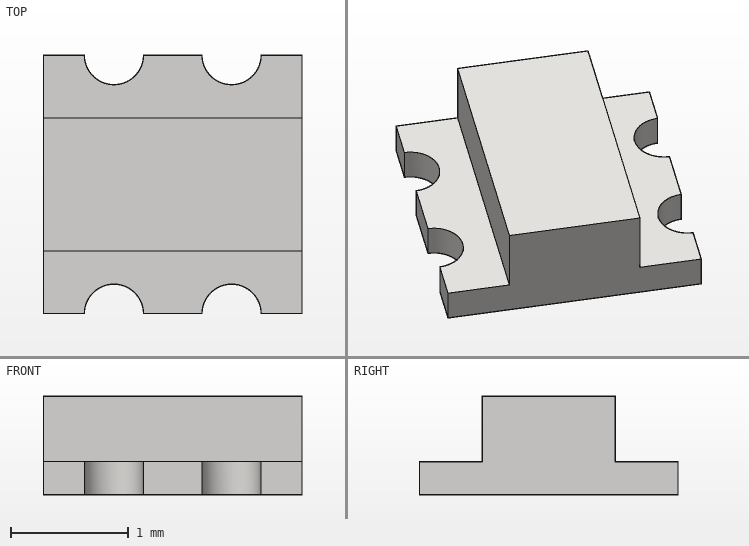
import cadquery as cq

side = 2.2
total_height = 0.84
base_height = 0.282

body_width = 1.133

notch_radius = 0.25
notch_spacing = 1.0

base = cq.Workplane("XY").box(side, side, base_height, centered=(True, True, False))

body = cq.Workplane("XY").box(side, body_width, total_height, centered=(True, True, False))

notches = (
    cq.Workplane("XY")
    .rarray(notch_spacing, side, 2, 2)
    .circle(notch_radius)
    .extrude(base_height)
)

result = base.cut(notches).union(body)